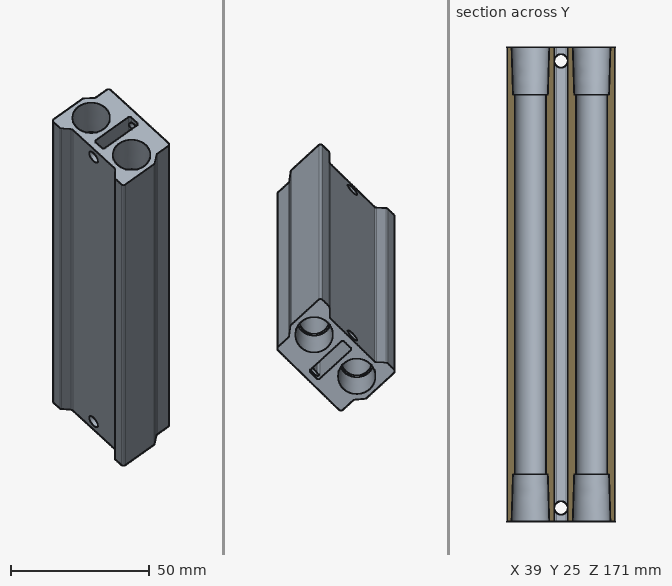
import cadquery as cq

length = 171.0
width = 39.0
depth = 25.0

back_width = 33.5
shoulder_inner_height = 18.5
shoulder_outer_height = 15.0

recess_depth = 2.9
recess_floor_width = 23.6
recess_mouth_width = 29.8

corner_radius = 1.0

channel_spacing = 22.0
channel_height = 11.5
channel_diameter = 11.1
port_mouth_diameter = 13.5
port_inner_diameter = 12.5
port_depth = 17.1

slot_width = 4.8
slot_depth = 17.0
slot_front_height = 5.5
slot_corner_radius = 0.7

mount_diameter = 4.8
mount_end_distance = 5.0

front = -depth / 2


def make_body():
    """Extrude the symmetric section, drawn from its right half."""
    right_half = [
        (recess_floor_width / 2, front + recess_depth),
        (recess_mouth_width / 2, front),
        (width / 2, front),
        (width / 2, front + shoulder_outer_height),
        (back_width / 2, front + shoulder_inner_height),
        (back_width / 2, depth / 2),
    ]
    left_half = [(-x, y) for x, y in reversed(right_half)]
    section = cq.Workplane("XY").polyline(right_half + left_half).close()
    return section.extrude(length).edges("|Z").fillet(corner_radius)


def make_channel(x):
    """Through bore with a port at each end that narrows inward to a step."""
    y = front + channel_height
    bore = cq.Workplane("XY").center(x, y).circle(channel_diameter / 2).extrude(length)
    for end, inward in ((0, 1), (length, -1)):
        port = cq.Solid.makeCone(
            port_mouth_diameter / 2,
            port_inner_diameter / 2,
            port_depth,
            pnt=cq.Vector(x, y, end),
            dir=cq.Vector(0, 0, inward),
        )
        bore = bore.union(cq.Workplane(port))
    return bore


def make_slot():
    """Rectangular channel running the full length."""
    y = front + slot_front_height + slot_depth / 2
    slot = cq.Workplane("XY").center(0, y).rect(slot_width, slot_depth).extrude(length)
    return slot.edges("|Z").fillet(slot_corner_radius)


def make_mount_hole(z):
    """Round hole from the back face through to the front."""
    start = cq.Workplane("XZ", origin=(0, depth / 2, z))
    return start.circle(mount_diameter / 2).extrude(depth)


result = make_body().cut(make_slot())
for x in (-channel_spacing / 2, channel_spacing / 2):
    result = result.cut(make_channel(x))
for z in (mount_end_distance, length - mount_end_distance):
    result = result.cut(make_mount_hole(z))